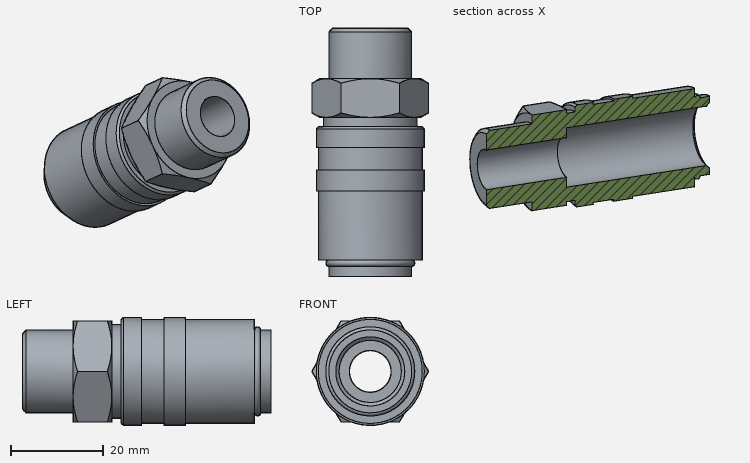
import cadquery as cq
import math

TOTAL_LENGTH = 54.0

NOSE_RADIUS = 9.0
SLEEVE_START = 3.6
RING_SECTION_RADIUS = 0.68

SLEEVE_RADIUS = 11.3
COLLAR_RADIUS = 11.75
FRONT_COLLAR_START = 18.6
FRONT_COLLAR_LENGTH = 4.6
REAR_COLLAR_START = 28.1
REAR_COLLAR_LENGTH = 4.5
COLLAR_CHAMFER = 0.5

NECK_RADIUS = 10.2
HEX_SIDES = 6
HEX_ACROSS_FLATS = 22.0
HEX_LENGTH = 8.4
HEX_CHAMFER_ANGLE = 30.0
TAIL_RADIUS = 9.0
TAIL_LENGTH = 11.0
TAIL_CHAMFER = 0.8

SOCKET_RADIUS = 6.75
SOCKET_CHAMFER = 0.75
PASSAGE_RADIUS = 4.5

FULL_TURN = 360

HEX_END = TOTAL_LENGTH - TAIL_LENGTH
HEX_START = HEX_END - HEX_LENGTH
SLEEVE_END = REAR_COLLAR_START + REAR_COLLAR_LENGTH
SOCKET_DEPTH = HEX_START


def cylinder(radius, start, end):
    """Solid cylinder around the Y axis between two axial positions."""
    plane = cq.Plane(origin=(0, start, 0), xDir=(1, 0, 0), normal=(0, 1, 0))
    return cq.Workplane(plane).circle(radius).extrude(end - start)


def revolve_profile(profile):
    """Revolve a closed XY profile a full turn around the Y axis."""
    return profile.close().revolve(FULL_TURN, (0, 0, 0), (0, 1, 0))


def make_ring():
    """Round-section ring, centred on the nose surface and touching the sleeve."""
    centre_y = SLEEVE_START - RING_SECTION_RADIUS
    section = cq.Workplane("XY").center(NOSE_RADIUS, centre_y).circle(RING_SECTION_RADIUS)
    return section.revolve(FULL_TURN, (-NOSE_RADIUS, 0, 0), (-NOSE_RADIUS, 1, 0))


def make_sleeve():
    """Sleeve with a plain front collar and a rear collar chamfered at its end."""
    sleeve = cylinder(SLEEVE_RADIUS, SLEEVE_START, SLEEVE_END - COLLAR_CHAMFER)
    front_collar = cylinder(
        COLLAR_RADIUS, FRONT_COLLAR_START, FRONT_COLLAR_START + FRONT_COLLAR_LENGTH
    )
    rear_collar = cylinder(COLLAR_RADIUS, REAR_COLLAR_START, SLEEVE_END)
    rear_collar = rear_collar.faces(">Y").chamfer(COLLAR_CHAMFER)
    return sleeve.union(front_collar).union(rear_collar)


def make_hexagon():
    """Hexagon with corners on the X axis, its corners turned off at both ends."""
    face_radius = HEX_ACROSS_FLATS / 2
    corner_radius = face_radius / math.cos(math.pi / HEX_SIDES)
    chamfer_height = (corner_radius - face_radius) * math.tan(math.radians(HEX_CHAMFER_ANGLE))
    plane = cq.Plane(origin=(0, HEX_START, 0), xDir=(1, 0, 0), normal=(0, 1, 0))
    prism = cq.Workplane(plane).polygon(HEX_SIDES, 2 * corner_radius).extrude(HEX_LENGTH)
    envelope = revolve_profile(
        cq.Workplane("XY")
        .moveTo(0, HEX_START)
        .lineTo(face_radius, HEX_START)
        .lineTo(corner_radius, HEX_START + chamfer_height)
        .lineTo(corner_radius, HEX_END - chamfer_height)
        .lineTo(face_radius, HEX_END)
        .lineTo(0, HEX_END)
    )
    return prism.intersect(envelope)


def make_tail():
    """Plain cylindrical connecting end with a chamfered tip."""
    tail = cylinder(TAIL_RADIUS, HEX_END, TOTAL_LENGTH)
    return tail.faces(">Y").chamfer(TAIL_CHAMFER)


def make_bore():
    """Cutting body for the countersunk socket and the passage behind it."""
    return revolve_profile(
        cq.Workplane("XY")
        .moveTo(0, 0)
        .lineTo(SOCKET_RADIUS + SOCKET_CHAMFER, 0)
        .lineTo(SOCKET_RADIUS, SOCKET_CHAMFER)
        .lineTo(SOCKET_RADIUS, SOCKET_DEPTH)
        .lineTo(PASSAGE_RADIUS, SOCKET_DEPTH)
        .lineTo(PASSAGE_RADIUS, TOTAL_LENGTH)
        .lineTo(0, TOTAL_LENGTH)
    )


nose = cylinder(NOSE_RADIUS, 0, SLEEVE_START)
neck = cylinder(NECK_RADIUS, SLEEVE_END, HEX_START)

body = nose.union(make_ring()).union(make_sleeve()).union(neck)
body = body.union(make_hexagon()).union(make_tail())
result = body.cut(make_bore())